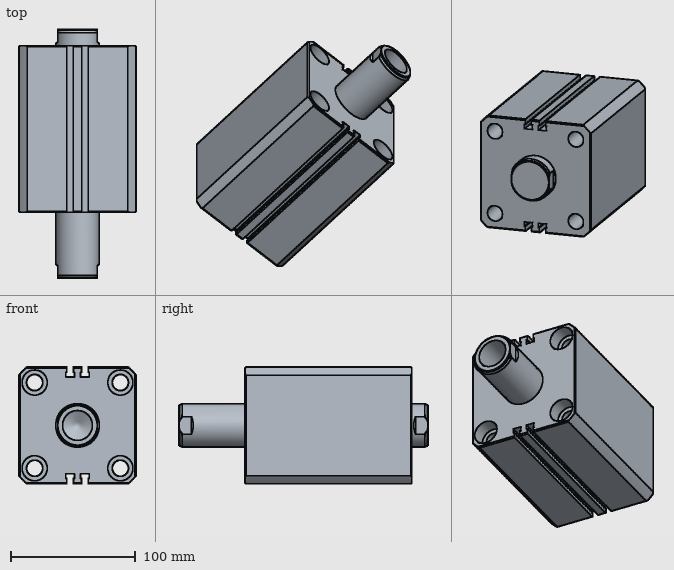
import cadquery as cq
import math

TOTAL_LENGTH = 200.0
HOUSING_WIDTH = 94.0
HOUSING_LENGTH = 134.0
FRONT_ROD_LENGTH = 53.0
REAR_ROD_LENGTH = TOTAL_LENGTH - HOUSING_LENGTH - FRONT_ROD_LENGTH

CORNER_RADIUS = 62.0
END_CHAMFER = 1.0

HOLE_OFFSET = 34.5
HOLE_DIAMETER = 12.8
COUNTERBORE_DIAMETER = 20.2
COUNTERBORE_DEPTH = 13.0

SLOT_OFFSET = 6.0
SLOT_MOUTH_WIDTH = 5.2
SLOT_WIDTH = 6.8
SLOT_LIP_DEPTH = 4.5
SLOT_DEPTH = 8.0

ROD_DIAMETER = 35.0
ROD_RADIUS = ROD_DIAMETER / 2
TIP_RADIUS = 15.8
NOSE_RADIUS = 16.5
NOSE_LENGTH = 0.8
COLLAR_RADIUS = 17.2
COLLAR_START = 2.5
TAPER_LENGTH = 2.8
FLAT_OFFSET = 16.0
FLAT_LENGTH = 10.0
FLAT_RUNOUT = ROD_RADIUS - FLAT_OFFSET

BORE_RADIUS = 12.0
BORE_DEPTH = 35.0
DRILL_HALF_ANGLE = 60.0


def slot_cutter(x, side):
    """T-shaped slot along the housing at x; side is 1 for the top face, -1 for the bottom face."""
    cutter = None
    for width, depth_from, depth_to in (
        (SLOT_MOUTH_WIDTH, 0, SLOT_LIP_DEPTH),
        (SLOT_WIDTH, SLOT_LIP_DEPTH, SLOT_DEPTH),
    ):
        middle = HOUSING_WIDTH / 2 - (depth_from + depth_to) / 2
        channel = (
            cq.Workplane("XY")
            .box(width, HOUSING_LENGTH, depth_to - depth_from, centered=(True, False, True))
            .translate((x, 0, side * middle))
        )
        cutter = channel if cutter is None else cutter.union(channel)
    return cutter


def make_housing():
    """Square block with end chamfers, turned corners, four mounting holes and four T slots."""
    block = (
        cq.Workplane("XY")
        .box(HOUSING_WIDTH, HOUSING_LENGTH, HOUSING_WIDTH, centered=(True, False, True))
        .faces("<Y or >Y")
        .edges()
        .chamfer(END_CHAMFER)
    )
    turned_envelope = cq.Workplane("XZ").circle(CORNER_RADIUS).extrude(-HOUSING_LENGTH)
    housing = block.intersect(turned_envelope)
    housing = (
        housing.faces("<Y")
        .workplane(origin=(0, 0, 0))
        .rect(2 * HOLE_OFFSET, 2 * HOLE_OFFSET, forConstruction=True)
        .vertices()
        .cboreHole(HOLE_DIAMETER, COUNTERBORE_DIAMETER, COUNTERBORE_DEPTH)
    )
    for side in (1, -1):
        for x in (-SLOT_OFFSET, SLOT_OFFSET):
            housing = housing.cut(slot_cutter(x, side))
    return housing


def wrench_flat_cutter():
    """Material outside the +X wrench flat of a rod whose tip is at Y = 0, with a 45 degree runout."""
    return (
        cq.Workplane("XY")
        .moveTo(FLAT_OFFSET, 0)
        .lineTo(FLAT_OFFSET, FLAT_LENGTH)
        .lineTo(FLAT_OFFSET + FLAT_RUNOUT, FLAT_LENGTH + FLAT_RUNOUT)
        .lineTo(FLAT_OFFSET + FLAT_RUNOUT, 0)
        .close()
        .extrude(ROD_RADIUS, both=True)
    )


def make_rod(length):
    """Rod along +Y with its tip at Y = 0: a tip narrowing in three tapers and two opposite wrench flats."""
    rod = (
        cq.Workplane("XY")
        .moveTo(0, 0)
        .lineTo(TIP_RADIUS, 0)
        .lineTo(NOSE_RADIUS, NOSE_LENGTH)
        .lineTo(COLLAR_RADIUS, COLLAR_START)
        .lineTo(ROD_RADIUS, TAPER_LENGTH)
        .lineTo(ROD_RADIUS, length)
        .lineTo(0, length)
        .close()
        .revolve(360, (0, 0, 0), (0, 1, 0))
    )
    flat = wrench_flat_cutter()
    return rod.cut(flat).cut(flat.mirror("YZ"))


def bore_cutter():
    """Blind bore entering at Y = 0, ending in a drill cone."""
    cone_tip = BORE_DEPTH + BORE_RADIUS / math.tan(math.radians(DRILL_HALF_ANGLE))
    return (
        cq.Workplane("XY")
        .moveTo(0, 0)
        .lineTo(BORE_RADIUS, 0)
        .lineTo(BORE_RADIUS, BORE_DEPTH)
        .lineTo(0, cone_tip)
        .close()
        .revolve(360, (0, 0, 0), (0, 1, 0))
    )


housing = make_housing()
front_rod = make_rod(FRONT_ROD_LENGTH).cut(bore_cutter()).translate((0, -FRONT_ROD_LENGTH, 0))
rear_rod = make_rod(REAR_ROD_LENGTH).mirror("XZ").translate((0, HOUSING_LENGTH + REAR_ROD_LENGTH, 0))

result = cq.Compound.makeCompound([housing.val(), front_rod.val(), rear_rod.val()])